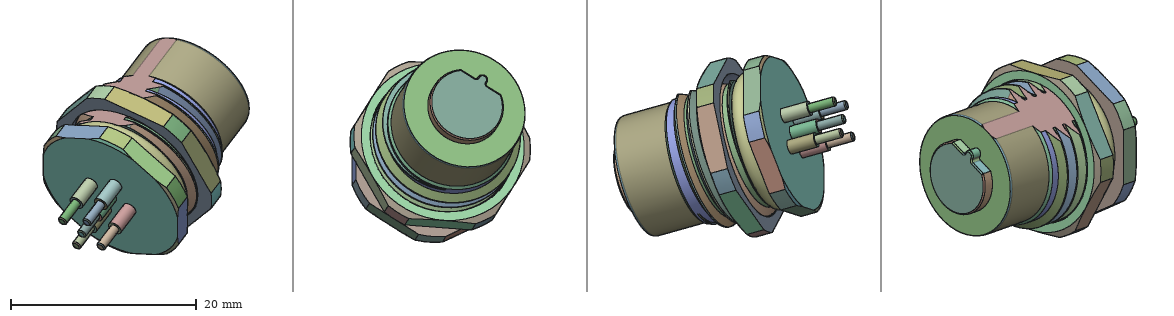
import cadquery as cq
import math


flange_across_flats = 16.88
flange_corner_radius = 9.0
flange_thickness = 2.05
flange_chamfer_radial = 0.4
flange_chamfer_axial = 0.18

bead_radius = 1.02
bead_outer_radius = 7.75
neck_radius = bead_outer_radius - bead_radius

thread_bottom = 4.15
thread_top = 12.0
thread_root_radius = 7.05
thread_crest_radius = 7.9
thread_pitch = 1.5
thread_turns = 5
runout_turns = 0.5
thread_start = 3.85
crest_width = thread_pitch / 8
flank_half_angle = 30.0
ridge_sink = 0.03
ridge_depth = thread_crest_radius - thread_root_radius + ridge_sink
root_width = crest_width + 2 * ridge_depth * math.tan(math.radians(flank_half_angle))

shell_radius = 6.75
shell_top = 18.05
shell_edge_chamfer_axial = 0.23
shell_edge_chamfer_radial = 0.08
key_angle = 120.0
flat_distance = 6.65

insert_radius = 4.05
insert_top = 19.35
insert_edge_chamfer = 0.15
recess_distance = 3.14
recess_half_width = math.sqrt(insert_radius**2 - recess_distance**2)
rib_radius = 0.55
rib_center_distance = insert_radius - rib_radius
rib_foot_fillet = 0.25

pin_circle_radius = 2.5
outer_pin_count = 4
pin_first_angle = key_angle - 180 / outer_pin_count
pin_radius = 0.8
pin_shoulder = 3.1
pin_tail_radius = 0.5
pin_length = 6.15
pin_tip_chamfer = 0.13

nut_across_flats = 18.03
nut_corner_radius = 9.75
nut_bottom = 5.0
nut_thickness = 2.27
nut_bore_radius = 8.0
nut_chamfer_radial = 0.75
nut_chamfer_axial = 0.25

hexagon_sides = 6
hexagon_half_angle = 180 / hexagon_sides

AXIS_START = (0, 0, 0)
AXIS_END = (0, 1, 0)


def plane_at(y):
    """Sketch plane across the axis, with local x along X and local y along Z; its normal is -Y."""
    return cq.Plane(origin=(0, y, 0), xDir=(1, 0, 0), normal=(0, -1, 0))


def turned(profile):
    """Solid of revolution about Y from (radius, y) points."""
    return cq.Workplane("XY").polyline(profile).close().revolve(360, AXIS_START, AXIS_END)


def cylinder(radius, bottom, top):
    return cq.Workplane(plane_at(bottom)).circle(radius).extrude(bottom - top)


def hexagon(across_flats, bottom, top):
    """Hexagonal prism with one corner on the X axis."""
    corner_diameter = across_flats / math.cos(math.radians(hexagon_half_angle))
    return cq.Workplane(plane_at(bottom)).polygon(hexagon_sides, corner_diameter).extrude(bottom - top)


def make_flange():
    blank = hexagon(flange_across_flats, 0, flange_thickness).rotate(AXIS_START, AXIS_END, hexagon_half_angle)
    envelope = turned([
        (0, 0),
        (flange_corner_radius - flange_chamfer_radial, 0),
        (flange_corner_radius, flange_chamfer_axial),
        (flange_corner_radius, flange_thickness),
        (0, flange_thickness),
    ])
    return blank.intersect(envelope)


def make_bead():
    """Ring with a half-round outer side."""
    top = flange_thickness + 2 * bead_radius
    return (
        cq.Workplane("XY")
        .moveTo(0, flange_thickness)
        .lineTo(neck_radius, flange_thickness)
        .threePointArc((bead_outer_radius, flange_thickness + bead_radius), (neck_radius, top))
        .lineTo(0, top)
        .close()
        .revolve(360, AXIS_START, AXIS_END)
    )


def make_sleeve():
    """Neck, thread core and plain shell in one turned piece."""
    shoulder = thread_root_radius - shell_radius
    return turned([
        (0, 0),
        (neck_radius, 0),
        (neck_radius, thread_bottom),
        (thread_root_radius, thread_bottom),
        (thread_root_radius, thread_top - shoulder),
        (shell_radius, thread_top),
        (shell_radius, shell_top - shell_edge_chamfer_axial),
        (shell_radius - shell_edge_chamfer_radial, shell_top),
        (0, shell_top),
    ])


def helix(radius, height, turns, taper):
    """Right-hand helix about Z that starts on +Y and widens by the taper angle."""
    center = cq.Vector(0, 0, 0)
    axis = cq.Vector(0, 0, 1)
    if taper == 0:
        wire = cq.Wire.makeHelix(thread_pitch, turns * thread_pitch, radius)
    else:
        slant_pitch = thread_pitch / math.cos(math.radians(taper))
        wire = cq.Wire.makeHelix(slant_pitch, turns * slant_pitch, radius, angle=taper)
    return wire.Edges()[0].rotate(center, axis, 90).translate(axis * height)


def make_ridge(crest_radius, turns, taper=0):
    """Thread ridge about Z, bounded by four ruled helical faces and two flat end caps."""
    root_radius = crest_radius - ridge_depth
    corners = [
        (root_radius, -root_width / 2),
        (crest_radius, -crest_width / 2),
        (crest_radius, crest_width / 2),
        (root_radius, root_width / 2),
    ]
    edges = [helix(radius, z, turns, taper) for radius, z in corners]
    neighbours = list(zip(edges, edges[1:] + edges[:1]))
    faces = [cq.Face.makeRuledSurface(first, second) for first, second in neighbours]
    for end in (0, 1):
        points = [edge.positionAt(end) for edge in edges]
        faces.append(cq.Face.makeFromWires(cq.Wire.makePolygon(points, close=True)))
    return cq.Workplane(cq.Solid.makeSolid(cq.Shell.makeShell(faces)))


def make_thread():
    """Helical ridge that sinks into the core over its first and last half turn."""
    runout_height = runout_turns * thread_pitch
    runout_taper = math.degrees(math.atan(ridge_depth / runout_height))
    runout_angle = 360 * runout_turns
    full_ridge = make_ridge(thread_crest_radius, thread_turns - 2 * runout_turns)
    full_ridge = full_ridge.rotate((0, 0, 0), (0, 0, 1), runout_angle).translate((0, 0, runout_height))
    lower_runout = make_ridge(thread_crest_radius - ridge_depth, runout_turns, runout_taper)
    middle = thread_turns * thread_pitch / 2
    upper_runout = lower_runout.rotate((0, 0, middle), (0, 1, middle), 180)
    ridge = full_ridge.union(lower_runout).union(upper_runout)
    ridge = ridge.rotate((0, 0, 0), (1, 0, 0), -90).translate((0, thread_start, 0))
    return ridge.cut(cylinder(2 * thread_crest_radius, 0, thread_bottom))


def cut_key_flat(body):
    """Mill the flat that faces the key direction, from the thread to the shell end."""
    length = shell_top - thread_bottom
    depth = thread_crest_radius
    cutter = (
        cq.Workplane("XY")
        .box(depth, length, 2 * depth, centered=(False, False, True))
        .translate((flat_distance, thread_bottom, 0))
        .rotate(AXIS_START, AXIS_END, -key_angle)
    )
    return body.cut(cutter)


def make_insert():
    """Round insert recessed on the key side, with a round-nosed coding rib in the recess."""
    foot = rib_radius + rib_foot_fillet
    fillet_top = recess_distance + rib_foot_fillet
    fillet_shift = rib_foot_fillet * math.sqrt(0.5)
    fillet_mid_x = foot - fillet_shift
    fillet_mid_y = fillet_top - fillet_shift
    outline = (
        cq.Workplane(plane_at(shell_top))
        .moveTo(-recess_half_width, recess_distance)
        .lineTo(-foot, recess_distance)
        .threePointArc((-fillet_mid_x, fillet_mid_y), (-rib_radius, fillet_top))
        .lineTo(-rib_radius, rib_center_distance)
        .threePointArc((0, rib_center_distance + rib_radius), (rib_radius, rib_center_distance))
        .lineTo(rib_radius, fillet_top)
        .threePointArc((fillet_mid_x, fillet_mid_y), (foot, recess_distance))
        .lineTo(recess_half_width, recess_distance)
        .threePointArc((0, -insert_radius), (-recess_half_width, recess_distance))
        .close()
    )
    insert = outline.extrude(shell_top - insert_top)
    insert = insert.faces(">Y").chamfer(insert_edge_chamfer)
    return insert.rotate(AXIS_START, AXIS_END, 90 - key_angle)


def make_pin(x, z):
    pin = turned([
        (0, 0),
        (pin_radius, 0),
        (pin_radius, -pin_shoulder),
        (pin_tail_radius, -pin_shoulder),
        (pin_tail_radius, pin_tip_chamfer - pin_length),
        (pin_tail_radius - pin_tip_chamfer, -pin_length),
        (0, -pin_length),
    ])
    return pin.translate((x, 0, z))


def pin_places():
    """A pin on the axis and the others evenly around it."""
    places = [(0, 0)]
    for i in range(outer_pin_count):
        angle = math.radians(pin_first_angle + i * 360 / outer_pin_count)
        places.append((pin_circle_radius * math.cos(angle), pin_circle_radius * math.sin(angle)))
    return places


def make_connector():
    connector = cut_key_flat(make_sleeve().union(make_thread()))
    connector = connector.union(make_flange()).union(make_bead()).union(make_insert())
    for x, z in pin_places():
        connector = connector.union(make_pin(x, z))
    return connector


def make_nut():
    """Hexagon nut, rounded at the corners on its outer face, with a plain bore over the thread."""
    top = nut_bottom + nut_thickness
    envelope = turned([
        (0, nut_bottom),
        (nut_corner_radius, nut_bottom),
        (nut_corner_radius, top - nut_chamfer_axial),
        (nut_corner_radius - nut_chamfer_radial, top),
        (0, top),
    ])
    blank = hexagon(nut_across_flats, nut_bottom, top).intersect(envelope)
    return blank.cut(cylinder(nut_bore_radius, nut_bottom, top))


connector = make_connector()
nut = make_nut()

result = cq.Compound.makeCompound([connector.solids().val(), nut.solids().val()])